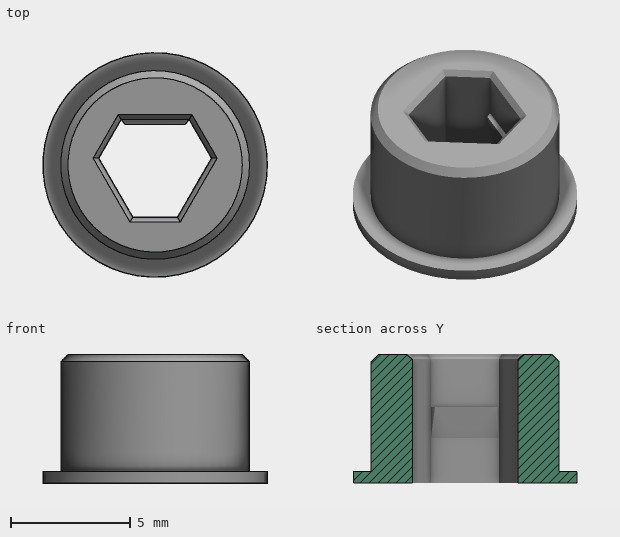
import cadquery as cq
import math

flange_diameter = 9.4
flange_height = 0.51
body_diameter = 7.9
total_height = 5.4
rim_chamfer = 0.3

near_side_distance = 1.9
far_side_distance = 2.18
bore_chamfer = 0.21

ledge_depth = 0.21
ledge_end_run = 0.17
ledge_top = 3.2
ledge_bottom = 1.88


def bore_corners(growth=0.0):
    """Corners of the bore with every side moved outward by growth."""
    near = near_side_distance + growth
    far = far_side_distance + growth
    distances = [near, far] * 3
    corners = []
    for i in range(6):
        angle = math.radians(90 + 60 * i)
        distance = distances[i]
        next_distance = distances[(i + 1) % 6]
        along = (next_distance - distance * math.cos(math.pi / 3)) / math.sin(math.pi / 3)
        corners.append((
            distance * math.cos(angle) - along * math.sin(angle),
            distance * math.sin(angle) + along * math.cos(angle),
        ))
    return corners


body = (
    cq.Workplane("XY")
    .circle(body_diameter / 2)
    .extrude(total_height)
    .faces(">Z")
    .edges()
    .chamfer(rim_chamfer)
)
flange = cq.Workplane("XY").circle(flange_diameter / 2).extrude(flange_height)

bore = cq.Workplane("XY").polyline(bore_corners()).close().extrude(total_height)
bore_mouth = (
    cq.Workplane("XY", origin=(0, 0, total_height - bore_chamfer))
    .polyline(bore_corners())
    .close()
    .workplane(offset=bore_chamfer)
    .polyline(bore_corners(bore_chamfer))
    .close()
    .loft(ruled=True)
)

wall_half_width = max(x for x, y in bore_corners() if y > near_side_distance / 2)
ledge_half_width = wall_half_width - ledge_end_run
ledge_plan = (
    cq.Workplane("XY")
    .polyline([
        (-wall_half_width, near_side_distance),
        (-ledge_half_width, near_side_distance - ledge_depth),
        (ledge_half_width, near_side_distance - ledge_depth),
        (wall_half_width, near_side_distance),
    ])
    .close()
    .extrude(ledge_top)
)
wedge = (
    cq.Workplane("YZ")
    .polyline([
        (near_side_distance, ledge_bottom),
        (near_side_distance - ledge_depth, ledge_top),
        (near_side_distance, ledge_top),
    ])
    .close()
    .extrude(wall_half_width, both=True)
)
ledge = ledge_plan.intersect(wedge)

result = body.union(flange).cut(bore).cut(bore_mouth).union(ledge)